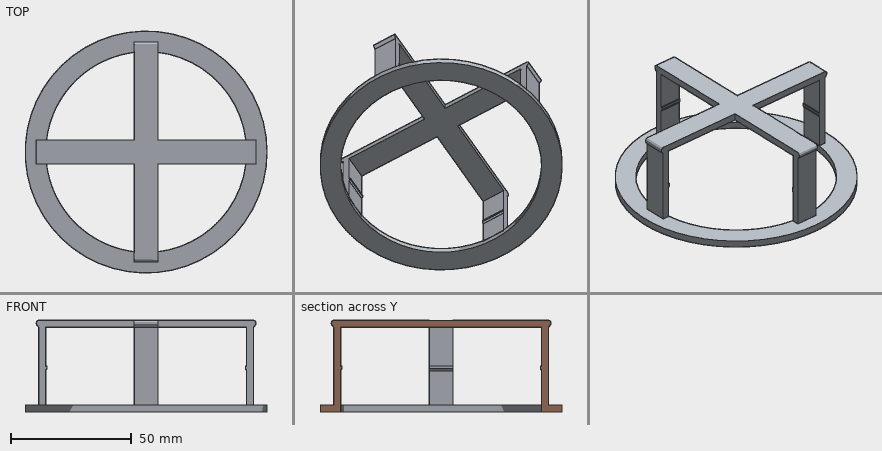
import cadquery as cq
import math

ring_diameter = 100.0
opening_diameter = 82.9
ring_thickness = 3.0

overall_height = 38.0
strip_width = 10.0
strip_thickness = 3.0
leg_inner = opening_diameter / 2
leg_outer = leg_inner + strip_thickness
bar_bottom = overall_height - strip_thickness

lip_overhang = 0.95
lip_radius = 1.3
lip_slope_height = 0.9
lip_tip = leg_outer + lip_overhang
lip_center_x = lip_tip - lip_radius
lip_center_z = overall_height - lip_radius
lip_slope_top = bar_bottom + lip_slope_height
lip_slope_top_x = lip_center_x + math.sqrt(lip_radius**2 - (lip_slope_top - lip_center_z) ** 2)

catch_top = 19.0
catch_depth = 0.5
catch_face_height = 1.0
catch_slope_height = 1.0
catch_tip = leg_inner - catch_depth
catch_face_bottom = catch_top - catch_face_height
catch_slope_bottom = catch_face_bottom - catch_slope_height


def make_ring():
    ring = cq.Workplane("XY").circle(ring_diameter / 2).circle(opening_diameter / 2)
    return ring.extrude(ring_thickness)


def make_half_frame():
    """One leg with its lip and catch, plus half of the crossbar, on the +X side."""
    profile = (
        cq.Workplane("XZ")
        .moveTo(0, overall_height)
        .lineTo(lip_center_x, overall_height)
        .threePointArc((lip_tip, lip_center_z), (lip_slope_top_x, lip_slope_top))
        .lineTo(leg_outer, bar_bottom)
        .lineTo(leg_outer, ring_thickness)
        .lineTo(leg_inner, ring_thickness)
        .lineTo(leg_inner, catch_slope_bottom)
        .lineTo(catch_tip, catch_face_bottom)
        .lineTo(catch_tip, catch_top)
        .lineTo(leg_inner, catch_top)
        .lineTo(leg_inner, bar_bottom)
        .lineTo(0, bar_bottom)
        .close()
    )
    return profile.extrude(strip_width / 2, both=True)


result = make_ring()
half_frame = make_half_frame()
for angle in (0, 90, 180, 270):
    result = result.union(half_frame.rotate((0, 0, 0), (0, 0, 1), angle))
result = result.clean()